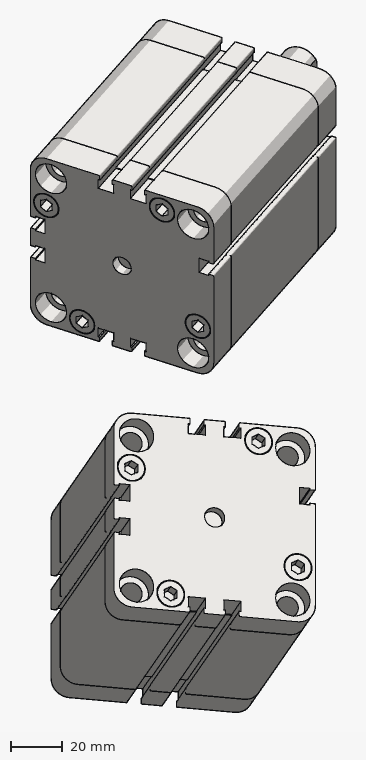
import cadquery as cq
import math


total_length = 147.5
body_length = 100.3
cap_width = 80.0
cap_length = 14.5
tube_inset = 0.1
tube_width = cap_width - 2 * tube_inset
cap_corner_radius = 7.2
tube_corner_radius = 6.6
rear_y = -total_length / 2
tube_rear_y = rear_y + cap_length
tube_length = body_length - 2 * cap_length
front_y = rear_y + body_length

rod_diameter = 16.0
rod_length = total_length - body_length
rod_end_round = 1.6
flat_to_flat = 13.1
flat_length = 5.6
flat_runout = rod_diameter / 2 - flat_to_flat / 2

slot_width = 6.8
cap_slot_depth = 6.3
tube_slot_depth = 5.8
lip_thickness = 2.2
lip_width = 0.66
lip_round = 0.52
paired_slot_pitch = 14.0
single_slot_offset = 12.1

mount_offset = 31.0
mount_diameter = 8.5
mount_bore_diameter = 13.5
mount_bore_depth = 8.4

screw_near_offset = 17.4
screw_far_offset = 33.0
screw_bore_diameter = 11.0
screw_head_diameter = 10.5
screw_head_length = 6.6
hex_across_corners = 5.9
hex_depth = 5.2

centre_hole_diameter = 8.0
centre_hole_depth = 4.4


def plane_at(y):
    """Plane facing +Y whose local x and y are the part's X and -Z."""
    return cq.Plane(origin=(0, y, 0), xDir=(1, 0, 0), normal=(0, 1, 0))


def turned(shape, angle):
    """Turn a shape about the rod axis; 90 degrees carries the top face to +X."""
    return shape.rotate((0, 0, 0), (0, 1, 0), angle)


def make_slot(y, length, face_z, depth, centre_x):
    """Slot in the top face whose mouth flares over the rounded corners of its lips."""
    half_chamber = slot_width / 2
    half_mouth = half_chamber - lip_width
    half_flare = half_mouth + lip_round
    arc_inset = lip_round * (1 - math.sqrt(0.5))
    round_z = face_z - lip_round
    lip_z = face_z - lip_thickness
    floor_z = face_z - depth
    return (
        cq.Workplane("XZ", origin=(centre_x, y, 0))
        .moveTo(half_flare, face_z)
        .threePointArc((half_mouth + arc_inset, face_z - arc_inset), (half_mouth, round_z))
        .lineTo(half_mouth, lip_z)
        .lineTo(half_chamber, lip_z)
        .lineTo(half_chamber, floor_z)
        .lineTo(-half_chamber, floor_z)
        .lineTo(-half_chamber, lip_z)
        .lineTo(-half_mouth, lip_z)
        .lineTo(-half_mouth, round_z)
        .threePointArc((-half_mouth - arc_inset, face_z - arc_inset), (-half_flare, face_z))
        .close()
        .extrude(-length)
    )


def make_section(y, length, width, corner_radius, slot_depth):
    """One slotted length of the body: slot pairs on three sides, a single slot on +X."""
    section = cq.Workplane(plane_at(y)).rect(width, width).extrude(length)
    section = section.edges("|Y").fillet(corner_radius)
    face_z = width / 2
    for centre_x in (-paired_slot_pitch / 2, paired_slot_pitch / 2):
        slot = make_slot(y, length, face_z, slot_depth, centre_x)
        for angle in (0, 180, 270):
            section = section.cut(turned(slot, angle))
    single_slot = make_slot(y, length, face_z, slot_depth, -single_slot_offset)
    return section.cut(turned(single_slot, 90))


def make_body():
    rear_cap = make_section(rear_y, cap_length, cap_width, cap_corner_radius, cap_slot_depth)
    tube = make_section(tube_rear_y, tube_length, tube_width, tube_corner_radius, tube_slot_depth)
    front_cap = rear_cap.translate((0, body_length - cap_length, 0))
    return rear_cap.union(tube).union(front_cap)


def cut_mounting_holes(body):
    spacing = 2 * mount_offset
    through = cq.Workplane(plane_at(rear_y)).rarray(spacing, spacing, 2, 2).circle(mount_diameter / 2)
    bore = cq.Workplane(plane_at(rear_y)).rarray(spacing, spacing, 2, 2).circle(mount_bore_diameter / 2)
    return body.cut(through.extrude(body_length)).cut(bore.extrude(mount_bore_depth))


def cut_screws(body):
    """Leave each screw head standing in its bore, flush with the rear face."""
    near, far = screw_near_offset, screw_far_offset
    centres = [(near, -far), (far, near), (-near, far), (-far, -near)]
    screws = cq.Workplane(plane_at(rear_y)).pushPoints(centres)
    bores = screws.circle(screw_bore_diameter / 2).extrude(screw_head_length)
    heads = screws.circle(screw_head_diameter / 2).extrude(screw_head_length)
    body = body.cut(bores.cut(heads))
    for x, y in centres:
        socket = cq.Workplane(plane_at(rear_y)).center(x, y).transformed(rotate=(0, 0, 90))
        body = body.cut(socket.polygon(6, hex_across_corners).extrude(hex_depth))
    return body


def cut_centre_hole(body):
    hole = cq.Workplane(plane_at(rear_y)).circle(centre_hole_diameter / 2).extrude(centre_hole_depth)
    return body.cut(hole)


def make_rod():
    """Rod with a rounded end and two wrench flats that run out at 45 degrees."""
    rod_radius = rod_diameter / 2
    tip_y = front_y + rod_length
    rod = cq.Workplane(plane_at(front_y)).circle(rod_radius).extrude(rod_length)
    rod = rod.faces(">Y").edges().fillet(rod_end_round)
    flat_cut = (
        cq.Workplane("XY")
        .moveTo(flat_to_flat / 2, tip_y)
        .lineTo(flat_to_flat / 2, tip_y - flat_length)
        .lineTo(rod_radius, tip_y - flat_length - flat_runout)
        .lineTo(rod_radius, tip_y)
        .close()
        .extrude(rod_radius, both=True)
    )
    return rod.cut(flat_cut).cut(flat_cut.mirror("YZ"))


body = make_body()
body = cut_mounting_holes(body)
body = cut_screws(body)
body = cut_centre_hole(body)
result = body.union(make_rod())